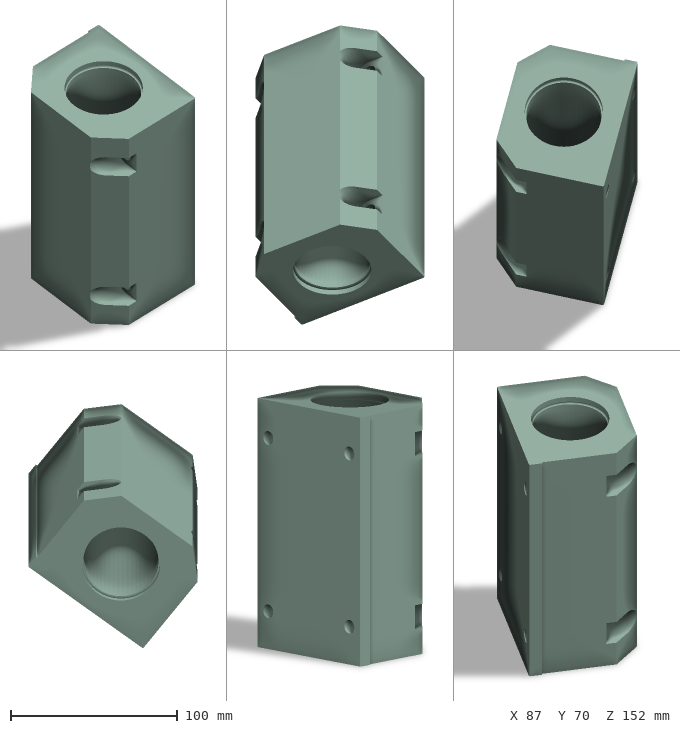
import cadquery as cq

length = 152.0
overall_width = 87.0
depth = 70.0
lip_step = 1.0
lip_height = 8.0
bevel = 16.1
back_chamfer = 0.6
axis_to_right = 43.5
axis_to_back = 35.1

bore_diameter = 45.0
mouth_diameter = 47.0
mouth_depth = 3.3
groove_diameter = 49.5
groove_width = 1.2

hole_diameter = 8.4
hole_spacing_x = 68.0
hole_spacing_z = 105.8
pocket_width = 14.9
pocket_depth = 22.3

right = axis_to_right
left = right - overall_width
body_left = left + lip_step
back = axis_to_back
front = back - depth
pocket_floor = front + pocket_depth


def block():
    outline = [
        (left, back - lip_height),
        (left, back - back_chamfer),
        (left + back_chamfer, back),
        (right - back_chamfer, back),
        (right, back - back_chamfer),
        (right, front + bevel),
        (right - bevel, front),
        (body_left + bevel, front),
        (body_left, front + bevel),
        (body_left, back - lip_height),
    ]
    return cq.Workplane("XY").polyline(outline).close().extrude(length / 2, both=True)


def disc(diameter, bottom, height):
    return cq.Workplane("XY").workplane(offset=bottom).circle(diameter / 2).extrude(height)


def bore():
    """Through bore with a wider mouth and a ring groove at each end."""
    half = length / 2
    cutter = disc(bore_diameter, -half, length)
    for bottom in (-half, half - mouth_depth):
        cutter = cutter.union(disc(mouth_diameter, bottom, mouth_depth))
    for bottom in (-half + mouth_depth, half - mouth_depth - groove_width):
        cutter = cutter.union(disc(groove_diameter, bottom, groove_width))
    return cutter


def mounting_hole(side, z):
    """Through hole and round-ended pocket; side is -1 for -X and 1 for +X."""
    x = side * hole_spacing_x / 2
    hole = (
        cq.Workplane("XZ", origin=(x, back, z))
        .circle(hole_diameter / 2)
        .extrude(depth)
    )
    pocket_end = (
        cq.Workplane("XZ", origin=(x, pocket_floor, z))
        .circle(pocket_width / 2)
        .extrude(pocket_depth)
    )
    side_run = overall_width / 2
    pocket_run = (
        cq.Workplane("XZ", origin=(x + side * side_run / 2, pocket_floor, z))
        .rect(side_run, pocket_width)
        .extrude(pocket_depth)
    )
    return hole.union(pocket_end).union(pocket_run)


result = block().cut(bore())
for side in (-1, 1):
    for z in (-hole_spacing_z / 2, hole_spacing_z / 2):
        result = result.cut(mounting_hole(side, z))